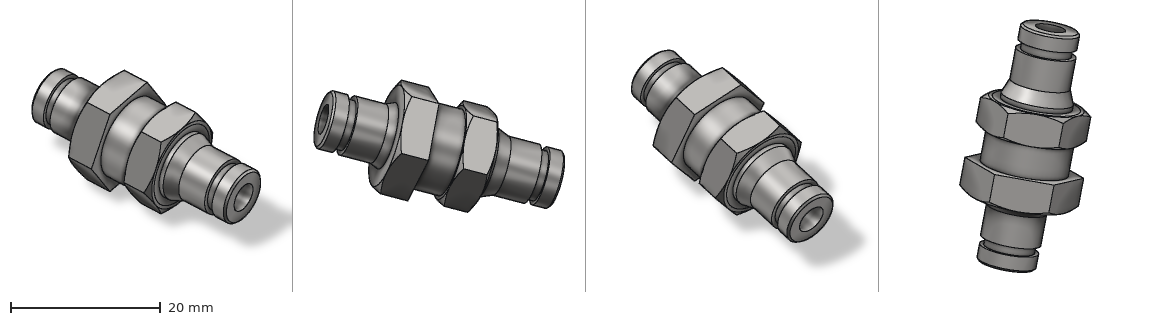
import cadquery as cq
import math

total_length = 33.0
collar_length = 2.2
groove_width = 1.2
barrel_length = 4.4
hex_start = 9.0
hex_thickness = 4.5
nut_start = 18.02
nut_thickness = 4.5
shoulder_length = 0.7

collar_diameter = 8.05
groove_diameter = 6.93
barrel_diameter = 8.22
left_cone_diameter = 9.2
shoulder_diameter = 9.85
shank_diameter = 12.0
end_chamfer = 0.3

passage_diameter = 3.2
socket_diameter = 4.1
socket_depth = hex_start

hex_across_flats = 14.0
nut_across_flats = 13.0
hex_chamfer_angle = 30.0

nut_end = nut_start + nut_thickness
groove_end = collar_length + groove_width
barrel_end = groove_end + barrel_length


def cylinder(start, length, diameter):
    """Solid cylinder on the X axis."""
    return cq.Workplane("YZ", origin=(start, 0, 0)).circle(diameter / 2).extrude(length)


def revolve_profile(points):
    """Revolve an (x, radius) outline about the X axis."""
    return cq.Workplane("XY").polyline(points).close().revolve(360, (0, 0, 0), (1, 0, 0))


def chamfered_hexagon(start, thickness, across_flats, chamfer_far_side):
    """Hexagonal prism along X whose corners are trimmed by cones."""
    across_corners = across_flats / math.cos(math.radians(30))
    prism = (
        cq.Workplane("YZ", origin=(start, 0, 0))
        .polygon(6, across_corners)
        .extrude(thickness)
    )
    flat_radius = across_flats / 2
    corner_radius = across_corners / 2
    chamfer_depth = (corner_radius - flat_radius) * math.tan(math.radians(hex_chamfer_angle))
    end = start + thickness
    envelope = [(start, 0), (start, flat_radius), (start + chamfer_depth, corner_radius)]
    if chamfer_far_side:
        envelope += [(end - chamfer_depth, corner_radius), (end, flat_radius)]
    else:
        envelope += [(end, corner_radius)]
    envelope += [(end, 0)]
    return prism.intersect(revolve_profile(envelope))


def end_outline():
    """(x, radius) points of one tube end, from its face to the end of its barrel."""
    collar_radius = collar_diameter / 2
    groove_radius = groove_diameter / 2
    barrel_radius = barrel_diameter / 2
    return [
        (0, 0),
        (0, collar_radius - end_chamfer),
        (end_chamfer, collar_radius),
        (collar_length, collar_radius),
        (collar_length, groove_radius),
        (groove_end, groove_radius),
        (groove_end, barrel_radius),
        (barrel_end, barrel_radius),
    ]


def make_fitting():
    """Turned body with its fixed hexagon and stepped bore."""
    left_end = end_outline()
    right_end = [(total_length - x, radius) for x, radius in reversed(left_end)]
    middle = [
        (hex_start, left_cone_diameter / 2),
        (hex_start, shank_diameter / 2),
        (nut_end, shank_diameter / 2),
        (nut_end, shoulder_diameter / 2),
        (nut_end + shoulder_length, shoulder_diameter / 2),
    ]
    body = revolve_profile(left_end + middle + right_end)
    body = body.union(chamfered_hexagon(hex_start, hex_thickness, hex_across_flats, False))

    body = body.cut(cylinder(0, total_length, passage_diameter))
    for socket_start in (0, total_length - socket_depth):
        body = body.cut(cylinder(socket_start, socket_depth, socket_diameter))
    return body


def make_nut():
    """Hexagonal nut seated on the shank, chamfered on both faces."""
    nut = chamfered_hexagon(nut_start, nut_thickness, nut_across_flats, True)
    return nut.cut(cylinder(nut_start, nut_thickness, shank_diameter))


fitting = make_fitting()
nut = make_nut()

result = cq.Compound.makeCompound([fitting.val(), nut.val()])